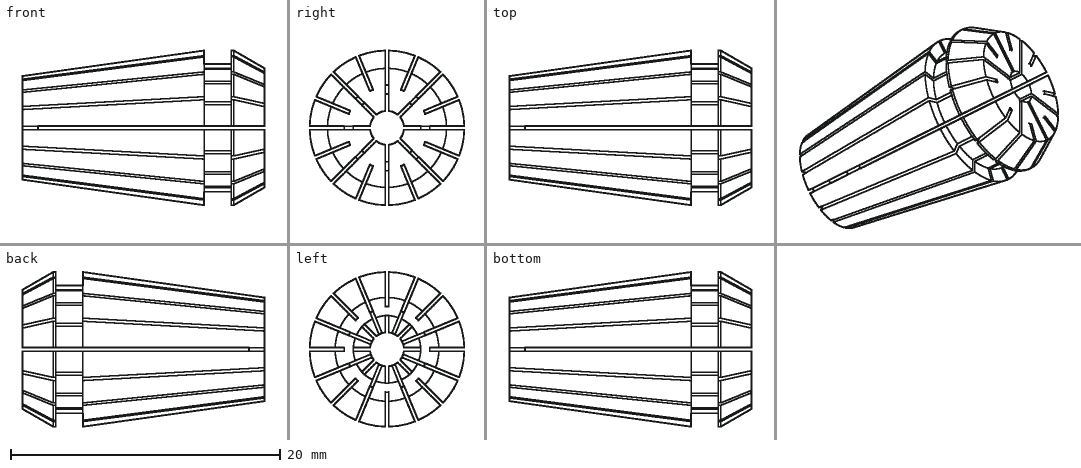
import cadquery as cq
import math

length = 18.0
taper_end = 13.5
neck_end = 15.5
rim_width = 0.2

rim_radius = 5.751
neck_radius = 4.75
clearance_radius = 2.5
bore_radius = 1.251
clearance_depth = 9.0

body_angle = math.radians(8)
nose_angle = math.radians(30)

slot_width = 0.25
slots_per_end = 8
small_end_bridge_radius = 3.19
nose_bridge_radius = 3.02
bridge_angle = math.radians(30)
overrun = 0.9

small_end_radius = rim_radius - taper_end * math.tan(body_angle)
rim_end = neck_end + rim_width
nose_end_radius = rim_radius - (length - rim_end) * math.tan(nose_angle)


def collet_body():
    """Tapered body, nut groove and nose with a stepped bore, turned about X."""
    half_section = [
        (0, clearance_radius),
        (0, small_end_radius),
        (taper_end, rim_radius),
        (taper_end, neck_radius),
        (neck_end, neck_radius),
        (neck_end, rim_radius),
        (rim_end, rim_radius),
        (length, nose_end_radius),
        (length, bore_radius),
        (clearance_depth, bore_radius),
        (clearance_depth, clearance_radius),
    ]
    profile = cq.Workplane("XY").polyline(half_section).close()
    return profile.revolve(360, (0, 0, 0), (1, 0, 0))


def slot_cutter(bridge_radius):
    """Radial slot open at the small end; a cone left at its foot forms the bridge at the nose."""
    outside = rim_radius + overrun
    slope = math.tan(bridge_angle)
    cone_tip = length - bridge_radius / slope
    cone_base_radius = bridge_radius + overrun * slope
    slot = (
        cq.Workplane("XY")
        .box(length + 2 * overrun, slot_width, outside, centered=(False, True, False))
        .translate((-overrun, 0, 0))
    )
    cone_section = [
        (cone_tip, 0),
        (length + overrun, 0),
        (length + overrun, cone_base_radius),
    ]
    cone = cq.Workplane("XY").polyline(cone_section).close().revolve(360, (0, 0, 0), (1, 0, 0))
    return slot.cut(cone)


slot_from_small_end = slot_cutter(nose_bridge_radius)
mid_point = (length / 2, 0, 0)
slot_from_nose = slot_cutter(small_end_bridge_radius).mirror("YZ", mid_point)
slot_pitch = 360 / slots_per_end

result = collet_body()
for index in range(slots_per_end):
    nose_slot_angle = index * slot_pitch
    small_end_slot_angle = nose_slot_angle + slot_pitch / 2
    result = result.cut(slot_from_nose.rotate((0, 0, 0), (1, 0, 0), nose_slot_angle))
    result = result.cut(slot_from_small_end.rotate((0, 0, 0), (1, 0, 0), small_end_slot_angle))